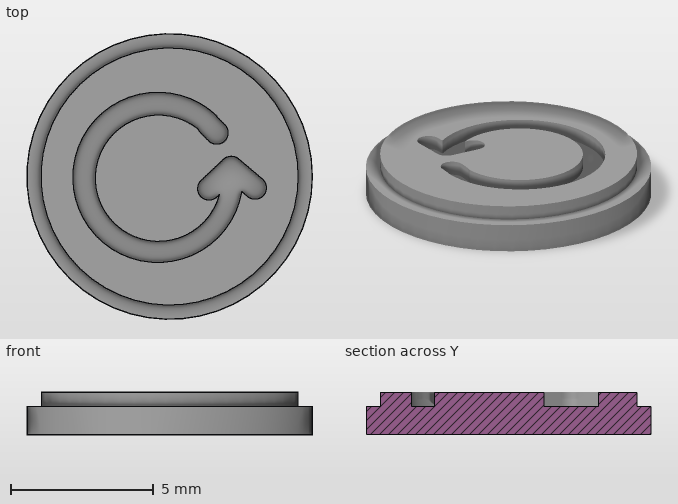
import cadquery as cq
import math

base_diameter = 10.0
base_height = 1.0
step_diameter = 9.0
step_height = 0.5
top_z = base_height + step_height

stroke_width = 0.8
engraving_depth = 0.5
engraving_floor_z = top_z - engraving_depth
ring_outer_center = (-0.41, -0.03)
ring_outer_radius = 2.98
island_center = (-0.39, -0.06)
island_radius = 2.21
tail_angle = 46.0
tail_end = (1.65, 1.53)
tail_length = 0.4
tail_back_angle = 135.0
arrow_tip = (2.16, 0.31)
arrow_left_end = (1.38, -0.425)
arrow_right_end = (2.99, -0.395)


def stroke(start, end):
    """Straight engraved stroke between two points, rounded at both ends."""
    run = end[0] - start[0]
    rise = end[1] - start[1]
    overall_length = math.hypot(run, rise) + stroke_width
    middle = (start[0] + run / 2, start[1] + rise / 2)
    return (
        cq.Workplane("XY", origin=(*middle, engraving_floor_z))
        .slot2D(overall_length, stroke_width, math.degrees(math.atan2(rise, run)))
        .extrude(engraving_depth)
    )


def outer_point(angle):
    """Point on the outer edge of the ring at an angle in degrees."""
    return polar_point(ring_outer_center, ring_outer_radius, angle)


def island_point(angle):
    """Point on the edge of the island inside the ring at an angle in degrees."""
    return polar_point(island_center, island_radius, angle)


def polar_point(center, radius, angle):
    """Point at a radius and an angle in degrees about a center."""
    return (
        center[0] + radius * math.cos(math.radians(angle)),
        center[1] + radius * math.sin(math.radians(angle)),
    )


def open_ring():
    """Ring band running counterclockwise from the tail round to the arrow tip."""
    tip_run = arrow_tip[0] - ring_outer_center[0]
    tip_rise = arrow_tip[1] - ring_outer_center[1]
    end_angle = math.degrees(math.atan2(tip_rise, tip_run)) + 360
    middle_angle = (tail_angle + end_angle) / 2
    return (
        cq.Workplane("XY", origin=(0, 0, engraving_floor_z))
        .moveTo(*outer_point(tail_angle))
        .threePointArc(outer_point(middle_angle), outer_point(end_angle))
        .lineTo(*island_point(end_angle))
        .threePointArc(island_point(middle_angle), island_point(tail_angle))
        .close()
        .extrude(engraving_depth)
    )


def stepped_disc():
    """Round base carrying a smaller concentric step."""
    base = cq.Workplane("XY").circle(base_diameter / 2).extrude(base_height)
    return base.faces(">Z").workplane().circle(step_diameter / 2).extrude(step_height)


def circular_arrow():
    """Open ring with a straight rounded tail and a two-stroke arrowhead."""
    tail_start = polar_point(tail_end, tail_length, tail_back_angle)
    arrow = open_ring().union(stroke(tail_start, tail_end))
    for arm_end in (arrow_left_end, arrow_right_end):
        arrow = arrow.union(stroke(arrow_tip, arm_end))
    return arrow


result = stepped_disc().cut(circular_arrow())